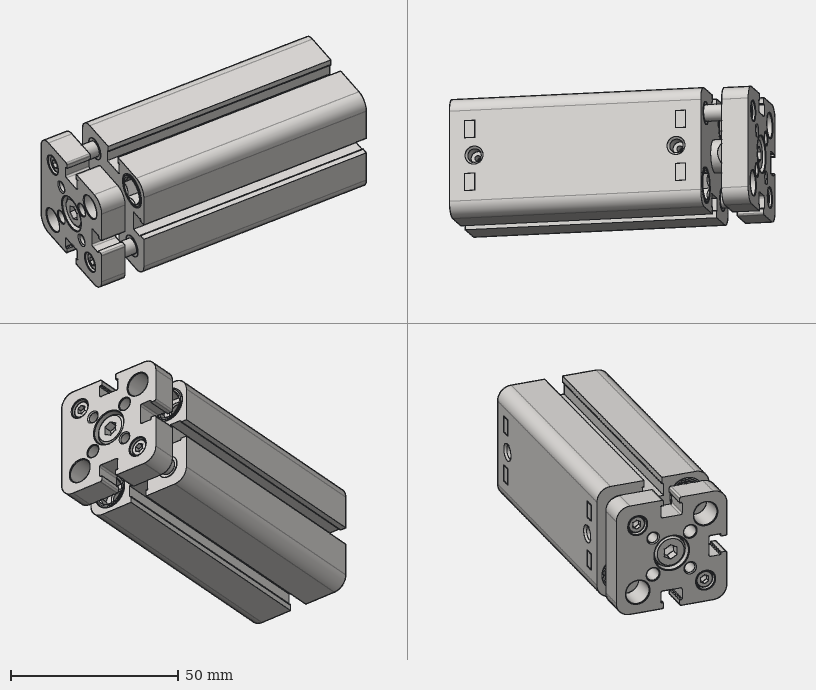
import cadquery as cq
import math


total_length = 91.6
plate_thickness = 8.15
gap = 6.3
housing_front = plate_thickness + gap
joint_overlap = 0.9
housing_length = total_length - housing_front

housing_side = 36.3
plate_side = 35.8
corner_radius = 4.4

slot_floor = 12.1
slot_lip = 16.0
slot_width = 6.9
slot_bevel = 0.3
housing_slot_opening = 5.8
plate_slot_opening = 5.2
plate_slot_round = 0.55

rod_diameter = 10.0
rod_end_length = 1.2
rod_end_diameter = 9.4
rod_flat_width = 8.0
rod_flat_length = 3.2
screw_bore = 11.1
screw_bore_depth = 3.7
screw_recess = 0.7
screw_head_bevel = 0.6
screw_hex = 4.1
screw_hex_depth = 2.75

corner_offset = 11.0
guide_diameter = 5.0
guide_seal_diameter = 7.0
guide_seal_depth = 0.2
bolt_bore = 6.0
bolt_bore_depth = 2.75
bolt_head_diameter = 5.5
bolt_recess = 0.7
bolt_head_bevel = 0.3
bolt_hex = 2.6
bolt_hex_depth = 1.5

access_hole = 7.5
mount_hole = 4.1
mount_hole_mouth = 5.0
mount_groove = 10.9
mount_head = 10.0
mount_groove_depth = 0.3
mount_hex = 8.0
mount_hex_depth = 4.0
mount_hex_bevel = 9.0

ring_offset = 6.0
thread_hole = 3.3
thread_mouth = 4.0
pin_hole = 4.0

cone_tip = 0.1
edge_bevel = 0.23

port_inset = 7.6
port_diameter = 4.1
port_mouth = 5.5
port_depth = 5.0
port_nozzle = 1.7
port_nozzle_depth = 3.7
label_inset = 6.2
label_height_offset = 8.1
label_length = 3.1
label_height = 5.2
label_depth = 0.2

guide_corners = [(-corner_offset, corner_offset), (corner_offset, -corner_offset)]
mount_corners = [(corner_offset, corner_offset), (-corner_offset, -corner_offset)]
thread_places = [(-ring_offset, ring_offset), (ring_offset, -ring_offset)]
pin_places = [(ring_offset, ring_offset), (-ring_offset, -ring_offset)]


def section_at(y):
    """Sketch plane across the part at y; extrusions run toward +Y and local y is -Z."""
    return cq.Workplane(cq.Plane((0, y, 0), (1, 0, 0), (0, 1, 0)))


def cylinder(place, diameter, start, end):
    """Cylinder along Y, centred on an (x, z) place."""
    x, z = place
    return section_at(start).center(x, -z).circle(diameter / 2).extrude(end - start)


def cone(place, start_diameter, end_diameter, start, end):
    """Cone frustum along Y, centred on an (x, z) place."""
    x, z = place
    base = section_at(start).center(x, -z).circle(start_diameter / 2)
    return base.workplane(offset=end - start).circle(end_diameter / 2).loft(ruled=True)


def bored_hole(place, diameter, start, end, bevel=edge_bevel):
    """Cutter for a hole with a 45 degree bevel at its mouth."""
    mouth = cone(place, diameter + 2 * bevel, diameter, start, start + bevel)
    return cylinder(place, diameter, start, end).union(mouth)


def across_corners(across_flats):
    """Distance across the corners of a hexagon."""
    return across_flats / math.cos(math.pi / 6)


def hexagon(place, across_flats, start, depth, turn=0):
    """Hexagonal prism with two corners along X, turned about its axis by an angle in degrees."""
    x, z = place
    sketch = section_at(start).center(x, -z).transformed(rotate=(0, 0, turn))
    return sketch.polygon(6, across_corners(across_flats)).extrude(depth)


def drilled_socket(place, across_flats, start, depth):
    """Cutter for a hexagonal socket with two corners along Z and a conical bottom."""
    wide = across_corners(across_flats)
    cone_start = start + depth
    cone_end = cone_start + wide / 3
    envelope = cylinder(place, wide, start, cone_start)
    envelope = envelope.union(cone(place, wide, cone_tip, cone_start, cone_end))
    return hexagon(place, across_flats, start, cone_end - start, 90).intersect(envelope)


def screw_head(place, diameter, bevel, start, end):
    """Cylindrical screw head with a bevelled front edge."""
    return cylinder(place, diameter, start, end).faces("<Y").chamfer(bevel)


def slot_cutter(side, opening, start, length, rounding=0):
    """T-slot opening toward +Z, optionally with rounded outer edges and floor corners."""
    half = slot_width / 2
    neck = opening / 2
    outer = side / 2
    arc_middle = rounding * (1 - math.sqrt(0.5))
    outline = section_at(start).moveTo(0, -slot_floor).lineTo(half - rounding, -slot_floor)
    if rounding > 0:
        outline = outline.threePointArc(
            (half - arc_middle, -slot_floor - arc_middle), (half, -slot_floor - rounding))
    outline = outline.lineTo(half, slot_bevel - slot_lip).lineTo(half - slot_bevel, -slot_lip)
    outline = outline.lineTo(neck, -slot_lip).lineTo(neck, rounding - outer)
    if rounding > 0:
        outline = outline.threePointArc(
            (neck + arc_middle, arc_middle - outer), (neck + rounding, -outer))
    right_half = outline.lineTo(0, -outer).close().extrude(length)
    return right_half.union(right_half.mirror("YZ"))


def slotted_block(side, opening, start, length, rounding=0):
    """Square block with rounded corners and T-slots in the top, +X and bottom sides."""
    block = section_at(start).rect(side, side).extrude(length)
    block = block.edges("|Y").fillet(corner_radius)
    cutter = slot_cutter(side, opening, start, length, rounding)
    for angle in (0, 90, 180):
        block = block.cut(cutter.rotate((0, 0, 0), (0, 1, 0), angle))
    return block


def make_port(y):
    """Cutter for an air port entering from the -X side."""
    face = cq.Workplane("YZ", origin=(-housing_side / 2, y, 0))
    bevel = (port_mouth - port_diameter) / 2
    bore = face.circle(port_diameter / 2).extrude(port_depth)
    mouth = face.circle(port_mouth / 2).workplane(offset=bevel).circle(port_diameter / 2).loft(ruled=True)
    nozzle = face.circle(port_nozzle / 2).extrude(port_depth + port_nozzle_depth)
    return bore.union(mouth).union(nozzle)


def mount_screw_hole(place):
    """Cutter for a hollow flush screw: groove around its bevelled head, hexagonal socket and through bore."""
    groove_end = housing_front + mount_groove_depth
    groove = cylinder(place, mount_groove, housing_front, groove_end)
    groove = groove.cut(cone(place, mount_head, mount_groove, housing_front, groove_end))
    bevel_end = housing_front + (mount_hex_bevel - mount_hex) / 2
    bevel = cone(place, mount_hex_bevel, mount_hex, housing_front, bevel_end)
    socket = hexagon(place, mount_hex, housing_front, mount_hex_depth)
    socket_floor = housing_front + mount_hex_depth
    mouth_bevel = (mount_hole_mouth - mount_hole) / 2
    bore = bored_hole(place, mount_hole, socket_floor, total_length, mouth_bevel)
    return groove.union(socket).union(bevel).union(bore)


def make_housing():
    housing = slotted_block(housing_side, housing_slot_opening, housing_front, housing_length)
    for place in mount_corners:
        housing = housing.cut(mount_screw_hole(place))
    for place in guide_corners:
        seal_floor = housing_front + guide_seal_depth
        housing = housing.cut(cylinder(place, guide_seal_diameter, housing_front, seal_floor))

    for port_y, label_y in (
        (housing_front + port_inset, housing_front + label_inset),
        (total_length - port_inset, total_length - label_inset),
    ):
        housing = housing.cut(make_port(port_y))
        for label_z in (-label_height_offset, label_height_offset):
            pocket = cq.Workplane("YZ", origin=(-housing_side / 2, label_y, label_z))
            housing = housing.cut(pocket.rect(label_length, label_height).extrude(label_depth))
    return housing


def make_plate():
    plate = slotted_block(plate_side, plate_slot_opening, 0, plate_thickness, plate_slot_round)
    for place in mount_corners:
        plate = plate.cut(bored_hole(place, access_hole, 0, plate_thickness))
    for place in guide_corners:
        plate = plate.cut(bored_hole(place, bolt_bore, 0, bolt_bore_depth))
    for place in thread_places:
        bevel = (thread_mouth - thread_hole) / 2
        plate = plate.cut(bored_hole(place, thread_hole, 0, plate_thickness, bevel))
    for place in pin_places:
        plate = plate.cut(bored_hole(place, pin_hole, 0, plate_thickness))
    return plate.cut(bored_hole((0, 0), screw_bore, 0, screw_bore_depth))


def make_piston_rod():
    """Rod between plate and housing, tapered at the plate, with two wrench flats that run out at 45 degrees."""
    cone_end = plate_thickness + rod_end_length
    rod = cylinder((0, 0), rod_diameter, cone_end, housing_front + joint_overlap)
    rod = rod.union(cone((0, 0), rod_end_diameter, rod_diameter, plate_thickness, cone_end))
    flat = rod_flat_width / 2
    flat_end = plate_thickness + rod_flat_length
    run_out = rod_diameter / 2 - flat
    for side in (-1, 1):
        outline = [
            (side * flat, plate_thickness),
            (side * flat, flat_end),
            (side * (flat + 2 * run_out), flat_end + 2 * run_out),
            (side * (flat + 2 * run_out), plate_thickness),
        ]
        cutter = cq.Workplane("XY").polyline(outline).close().extrude(rod_diameter / 2, both=True)
        rod = rod.cut(cutter)
    return rod


def make_guide_rod(place):
    """Guide rod with the head of the bolt that holds it in the plate."""
    rod = cylinder(place, guide_diameter, bolt_bore_depth, housing_front + joint_overlap)
    return rod.union(screw_head(place, bolt_head_diameter, bolt_head_bevel, bolt_recess, bolt_bore_depth))


result = make_housing().union(make_plate()).union(make_piston_rod())
result = result.union(screw_head((0, 0), rod_diameter, screw_head_bevel, screw_recess, screw_bore_depth))
result = result.cut(drilled_socket((0, 0), screw_hex, screw_recess, screw_hex_depth))
for corner in guide_corners:
    result = result.union(make_guide_rod(corner))
    result = result.cut(drilled_socket(corner, bolt_hex, bolt_recess, bolt_hex_depth))